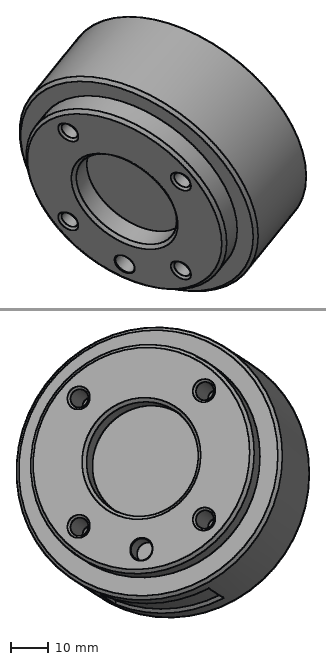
import cadquery as cq
import math

body_diameter = 75.0
flange_diameter = 63.0
total_length = 33.0
flange_length = 6.5
edge_chamfer = 1.0

bore_diameter = 31.5
bore_depth = flange_length

pitch_diameter = 50.0
screw_diameter = 5.0
screw_mouth_diameter = 6.4
screw_depth = 12.0
drill_point_angle = 118.0
screw_angles = (45, 135, 225, 315)
pin_diameter = 6.0
pin_mouth_diameter = 6.4
pin_depth = 6.0
pin_angle = 270

recess_mouth_length = 14.0
recess_depth = 1.0
recess_arc_angle = 48.0
recess_center = 19.6
down_angle = 90


def revolve_about_y(outline, angle=360):
    """Revolve a closed outline of (radius, Y) points about the Y axis."""
    return cq.Workplane("XY").polyline(outline).close().revolve(angle, (0, 0, 0), (0, 1, 0))


def on_pitch_circle(tool, angle):
    """Move a tool from the Y axis to the given angle on the pitch circle."""
    radius = pitch_diameter / 2
    across = radius * math.cos(math.radians(angle))
    up = radius * math.sin(math.radians(angle))
    return tool.translate((across, 0, up))


def stepped_body():
    """Disc with a smaller flange in front, both with a chamfered front edge."""
    body_radius = body_diameter / 2
    flange_radius = flange_diameter / 2
    return revolve_about_y([
        (0, 0),
        (flange_radius - edge_chamfer, 0),
        (flange_radius, edge_chamfer),
        (flange_radius, flange_length),
        (body_radius - edge_chamfer, flange_length),
        (body_radius, flange_length + edge_chamfer),
        (body_radius, total_length),
        (0, total_length),
    ])


def chamfered_hole(diameter, mouth_diameter, depth, point_length=0):
    """Hole with a 45 degree mouth; a point length adds a conical bottom."""
    radius = diameter / 2
    mouth_radius = mouth_diameter / 2
    return revolve_about_y([
        (0, 0),
        (mouth_radius, 0),
        (radius, mouth_radius - radius),
        (radius, depth),
        (0, depth + point_length),
    ])


def underside_recess():
    """Sector of a ring about the Y axis, centred straight below it."""
    outer_radius = body_diameter / 2
    floor_radius = outer_radius - recess_depth
    clear_radius = outer_radius + recess_depth
    floor_half = recess_mouth_length / 2 - recess_depth
    clear_half = recess_mouth_length / 2 + recess_depth
    sector = revolve_about_y([
        (floor_radius, recess_center - floor_half),
        (clear_radius, recess_center - clear_half),
        (clear_radius, recess_center + clear_half),
        (floor_radius, recess_center + floor_half),
    ], recess_arc_angle)
    return sector.rotate((0, 0, 0), (0, 1, 0), down_angle - recess_arc_angle / 2)


bore = chamfered_hole(bore_diameter, bore_diameter + 2 * edge_chamfer, bore_depth)
screw_point_length = screw_diameter / 2 / math.tan(math.radians(drill_point_angle / 2))
screw_hole = chamfered_hole(screw_diameter, screw_mouth_diameter, screw_depth, screw_point_length)
pin_hole = chamfered_hole(pin_diameter, pin_mouth_diameter, pin_depth)

result = stepped_body().cut(bore)
for screw_angle in screw_angles:
    result = result.cut(on_pitch_circle(screw_hole, screw_angle))
result = result.cut(on_pitch_circle(pin_hole, pin_angle))
result = result.cut(underside_recess())